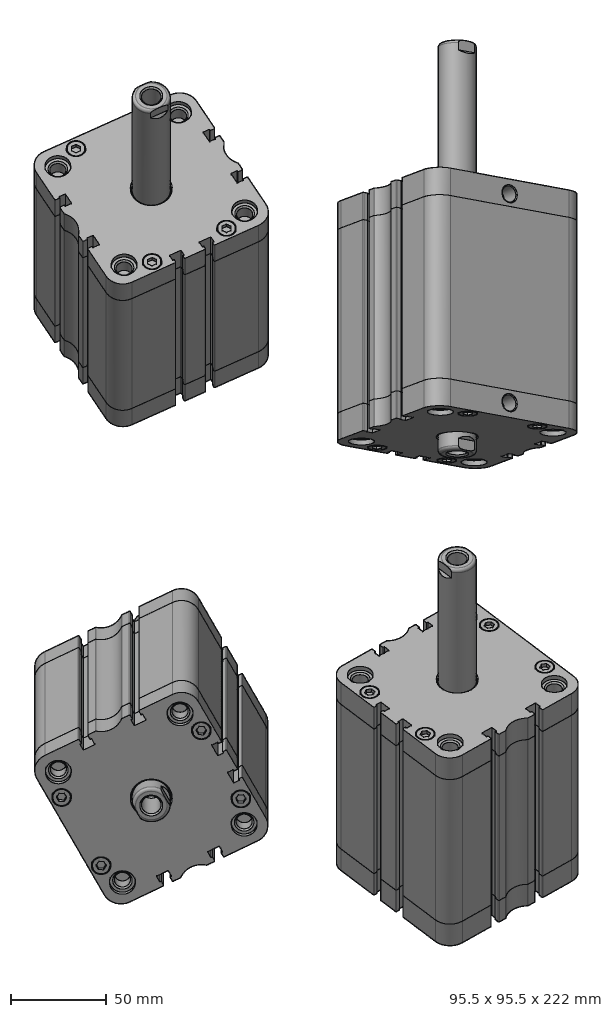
import cadquery as cq
import math

side = 95.5
corner_radius = 10.0
total_length = 222.0

housing_bottom = 9.0
housing_length = 129.2
cap_length = 14.9
barrel_length = housing_length - 2 * cap_length
barrel_bottom = housing_bottom + cap_length
barrel_top = barrel_bottom + barrel_length
housing_top = housing_bottom + housing_length

slot_neck_width = 5.0
slot_width = 6.9
face_slot_offset = 15.0
face_slot_depth = 6.7
face_slot_neck = 2.9
side_slot_offset = 8.9
side_slot_depth = 5.5
side_slot_neck = 2.2

groove_radius = 11.5
groove_depth = 2.9

mouth_fillet = 0.5

mount_offset = 36.0
mount_recess_diameter = 13.5
mount_recess_depth = 2.7
mount_diameter = 8.5
mount_chamfer = 0.9
mount_depth = 11.0

screw_x = 41.3
screw_y = 22.2
screw_head_diameter = 9.3
screw_gap_diameter = 10.2
screw_gap_depth = 2.2
hex_flats = 4.7
hex_depth = 2.2

port_diameter = 8.7
port_chamfer = 0.55
port_depth = 11.0
port_inset = 8.0

rod_diameter = 20.0
rod_seat_diameter = 22.0
rod_clearance_diameter = 20.6
rod_seat_depth = 1.5
rod_end_fillet = 1.8
rod_flats = 17.0
rod_flat_length = 5.8
thread_diameter = 10.2
thread_chamfer = 0.9
thread_depth = 20.0
drill_point_angle = 118.0


def t_slot(neck_length, depth, length):
    """A T-slot cutter opening at y = 0 and reaching to y = -depth, from z = 0 upwards."""
    neck = cq.Workplane("XY").rect(slot_neck_width, 2 * depth).extrude(length)
    wide_part = (
        cq.Workplane("XY")
        .center(0, -(depth + neck_length) / 2)
        .rect(slot_width, depth - neck_length)
        .extrude(length)
    )
    return neck.union(wide_part)


def mouth_edges(bar):
    """The long edges of a profile bar where slots and grooves break through its flat faces."""
    flat_half = side / 2 - corner_radius
    tolerance = 0.02

    def on_flat_face(edge):
        across, outward = sorted((abs(edge.Center().x), abs(edge.Center().y)))
        return abs(outward - side / 2) < tolerance and across < flat_half - tolerance

    return bar.edges("|Z").filter(on_flat_face)


def profile_bar(bottom, length):
    """A length of the grooved square profile shared by the barrel and the caps, with the rod bore."""
    bar = cq.Workplane("XY").rect(side, side).extrude(length).edges("|Z").fillet(corner_radius)

    face_slot = t_slot(face_slot_neck, face_slot_depth, length).translate((0, side / 2, 0))
    groove_centre = side / 2 + groove_radius - groove_depth
    groove = cq.Workplane("XY").center(0, groove_centre).circle(groove_radius).extrude(length)
    for turn in (0, 180):
        bar = bar.cut(groove.rotate((0, 0, 0), (0, 0, 1), turn))
        for x in (-face_slot_offset, face_slot_offset):
            bar = bar.cut(face_slot.translate((x, 0, 0)).rotate((0, 0, 0), (0, 0, 1), turn))

    side_slot = t_slot(side_slot_neck, side_slot_depth, length).rotate((0, 0, 0), (0, 0, 1), -90)
    for y in (-side_slot_offset, side_slot_offset):
        bar = bar.cut(side_slot.translate((side / 2, y, 0)))
    bar = mouth_edges(bar).fillet(mouth_fillet)

    bore = cq.Workplane("XY").circle(rod_diameter / 2).extrude(length)
    return bar.cut(bore).translate((0, 0, bottom))


def chamfered_hole(diameter, chamfer, depth):
    """A blind flat-bottomed hole cutter, its chamfered mouth at z = 0 and its floor at z = -depth."""
    radius = diameter / 2
    outline = [
        (0, 0),
        (radius + chamfer, 0),
        (radius, -chamfer),
        (radius, -depth),
        (0, -depth),
    ]
    return cq.Workplane("XZ").polyline(outline).close().revolve(360, (0, 0, 0), (0, 1, 0))


def mount_hole():
    """A recessed mounting hole cutter with its mouth at z = 0."""
    recess = cq.Workplane("XY").circle(mount_recess_diameter / 2).extrude(-mount_recess_depth)
    hole = chamfered_hole(mount_diameter, mount_chamfer, mount_depth - mount_recess_depth)
    return recess.union(hole.translate((0, 0, -mount_recess_depth)))


def screw_outline():
    """A cutter for the ring gap and the hexagon socket of one screw head, its mouth at z = 0."""
    gap = (
        cq.Workplane("XY")
        .circle(screw_gap_diameter / 2)
        .circle(screw_head_diameter / 2)
        .extrude(-screw_gap_depth)
    )
    hex_corners = hex_flats / math.cos(math.pi / 6)
    socket = cq.Workplane("XY").polygon(6, hex_corners).extrude(-hex_depth)
    return gap.union(socket.rotate((0, 0, 0), (0, 0, 1), 90))


def make_top_cap():
    cap = profile_bar(barrel_top, cap_length)

    for x_sign in (-1, 1):
        for y_sign in (-1, 1):
            mount_place = (x_sign * mount_offset, y_sign * mount_offset, housing_top)
            screw_place = (x_sign * screw_x, y_sign * screw_y, housing_top)
            cap = cap.cut(mount_hole().translate(mount_place))
            cap = cap.cut(screw_outline().translate(screw_place))

    port = chamfered_hole(port_diameter, port_chamfer, port_depth).rotate((0, 0, 0), (0, 1, 0), -90)
    cap = cap.cut(port.translate((-side / 2, 0, housing_top - port_inset)))

    seat_chamfer = (rod_seat_diameter - rod_clearance_diameter) / 2
    rod_seat = chamfered_hole(rod_clearance_diameter, seat_chamfer, rod_seat_depth)
    return cap.cut(rod_seat.translate((0, 0, housing_top)))


def make_barrel():
    return profile_bar(barrel_bottom, barrel_length)


def make_bottom_cap(top_cap):
    """The top cap mirrored to the lower end of the housing."""
    return top_cap.mirror("XY", (0, 0, housing_bottom + housing_length / 2))


def rod_end_cutter():
    """A cutter for the two wrench flats and the threaded hole of a rod end whose face is at z = 0."""
    rod_radius = rod_diameter / 2
    flat_x = rod_flats / 2
    runout = rod_radius - flat_x
    flat_outline = [
        (flat_x, 0),
        (flat_x, -rod_flat_length),
        (rod_radius, -rod_flat_length - runout),
        (rod_radius, 0),
    ]
    flat = cq.Workplane("XZ").polyline(flat_outline).close().extrude(rod_radius, both=True)
    cutter = flat.union(flat.mirror("YZ"))

    thread_radius = thread_diameter / 2
    point_height = thread_radius / math.tan(math.radians(drill_point_angle / 2))
    hole = chamfered_hole(thread_diameter, thread_chamfer, thread_depth)
    drill_point = cq.Solid.makeCone(
        thread_radius, 0, point_height, cq.Vector(0, 0, -thread_depth), cq.Vector(0, 0, -1)
    )
    return cutter.union(hole).union(cq.Workplane(drill_point))


def make_rod():
    rod = cq.Workplane("XY").circle(rod_diameter / 2).extrude(total_length)
    rod = rod.faces("<Z or >Z").edges().fillet(rod_end_fillet)
    top_cutter = rod_end_cutter().translate((0, 0, total_length))
    bottom_cutter = top_cutter.mirror("XY", (0, 0, total_length / 2))
    return rod.cut(top_cutter).cut(bottom_cutter)


top_cap = make_top_cap()
barrel = make_barrel()
bottom_cap = make_bottom_cap(top_cap)
rod = make_rod()

result = cq.Compound.makeCompound([top_cap.val(), barrel.val(), bottom_cap.val(), rod.val()])